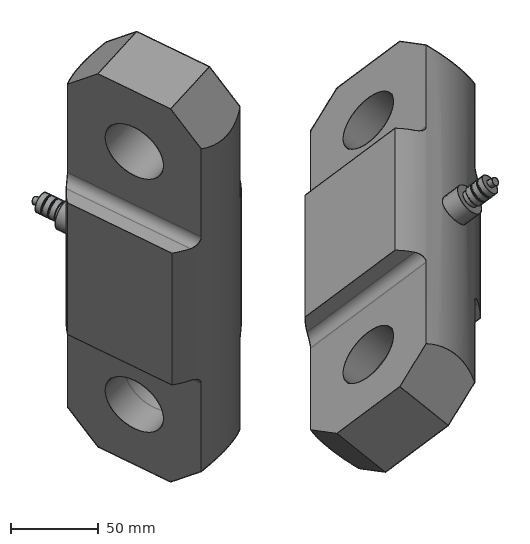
import cadquery as cq
import math

length = 310.0
bar_diameter = 100.0
body_thickness = 70.0
end_thickness = 40.0
pad_length = 109.5
step_radius = 6.2
corner_chamfer = 25.0
hole_diameter = 40.0
hole_spacing = 210.2

overall_width = 132.5
collar_diameter = 19.8
collar_reach = 61.0
boot_reach = 77.2
boot_core_diameter = 11.0
rib_diameter = 12.7
rib_width = 3.7
rib_gap = 1.0
rib_count = 3
cable_diameter = 5.0
cable_droop = 18.0
cable_root_height = 1.0

bar_radius = bar_diameter / 2
cable_reach = overall_width - bar_radius


def make_bar():
    """Upright round bar with front and back flats and chamfered end corners."""
    bar = cq.Workplane("XY").circle(bar_radius).extrude(length / 2, both=True)
    outline = (
        cq.Workplane("XZ")
        .rect(bar_diameter, length)
        .extrude(body_thickness / 2, both=True)
        .edges("|Y")
        .chamfer(corner_chamfer)
    )
    return bar.intersect(outline)


def make_end_recess(y_side, z_side):
    """Block that thins one face of one end, rounded where it meets the pad."""
    depth = bar_radius - end_thickness / 2
    height = (length - pad_length) / 2
    block = cq.Workplane("XY").box(bar_diameter, depth, height)
    inner_y = "<Y" if y_side > 0 else ">Y"
    inner_z = "<Z" if z_side > 0 else ">Z"
    block = block.faces(inner_y).edges(inner_z).fillet(step_radius)
    y_center = y_side * (end_thickness / 2 + depth / 2)
    z_center = z_side * (pad_length + height) / 2
    return block.translate((0, y_center, z_center))


def make_x_cylinder(diameter, outer_reach, inner_reach):
    """Cylinder along X between two distances to the left of the bar axis."""
    return (
        cq.Workplane("YZ", origin=(-outer_reach, 0, 0))
        .circle(diameter / 2)
        .extrude(outer_reach - inner_reach)
    )


def make_gland():
    """Collar, ribbed boot and drooping cable stub."""
    gland = make_x_cylinder(collar_diameter, collar_reach, 0)
    gland = gland.union(make_x_cylinder(boot_core_diameter, boot_reach, 0))
    for index in range(rib_count):
        rib_outer = boot_reach - index * (rib_width + rib_gap)
        gland = gland.union(make_x_cylinder(rib_diameter, rib_outer, rib_outer - rib_width))
    return gland.union(make_cable())


def make_cable():
    """Cable stub leaving the boot at a downward angle; its top edge is the leftmost point."""
    droop = math.radians(cable_droop)
    start_reach = boot_reach - rib_width / 2
    tip_tilt_reach = cable_diameter / 2 * math.sin(droop)
    cable_length = (cable_reach - start_reach - tip_tilt_reach) / math.cos(droop)
    direction = cq.Vector(-math.cos(droop), 0, -math.sin(droop))
    start = cq.Vector(-start_reach, 0, cable_root_height)
    return cq.Workplane(cq.Solid.makeCylinder(cable_diameter / 2, cable_length, start, direction))


body = make_bar()
for y_side in (-1, 1):
    for z_side in (-1, 1):
        body = body.cut(make_end_recess(y_side, z_side))

holes = (
    cq.Workplane("XZ")
    .pushPoints([(0, -hole_spacing / 2), (0, hole_spacing / 2)])
    .circle(hole_diameter / 2)
    .extrude(bar_radius, both=True)
)

result = body.cut(holes).union(make_gland())